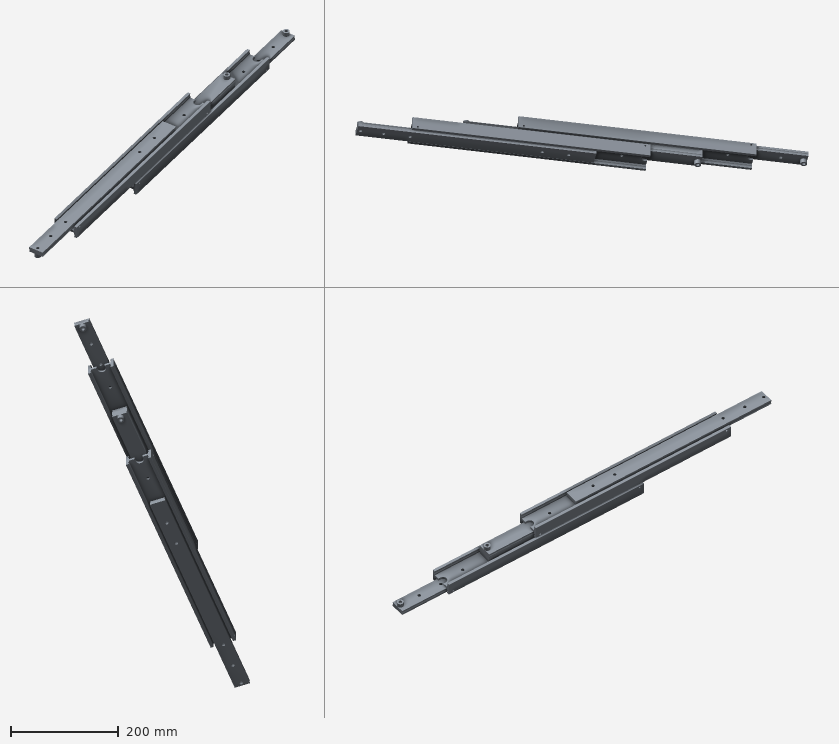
import cadquery as cq
import math

TOTAL_LENGTH = 850.0
MEMBER_COUNT = 5
MEMBER_LENGTH = 450.0
STEP = (TOTAL_LENGTH - MEMBER_LENGTH) / (MEMBER_COUNT - 1)
HALF_LENGTH = MEMBER_LENGTH / 2

WEB_THICKNESS = 5.0
RAIL_GAP = WEB_THICKNESS / 2
OUTER_RAIL_HEIGHT = 2 * WEB_THICKNESS
MIDDLE_RAIL_HEIGHT = 2 * OUTER_RAIL_HEIGHT
CHANNEL_Z = MIDDLE_RAIL_HEIGHT / 2 + RAIL_GAP + WEB_THICKNESS / 2
OUTER_RAIL_BASE_Z = CHANNEL_Z + WEB_THICKNESS / 2 + RAIL_GAP
OUTER_RAIL_TOP_Z = OUTER_RAIL_BASE_Z + OUTER_RAIL_HEIGHT
CHANNEL_HEIGHT = 2 * (CHANNEL_Z - RAIL_GAP)

CHANNEL_WIDTH = 50.0
FLANGE_THICKNESS = 6.0
FLANGE_EDGE_RADIUS = 0.4
RAIL_WIDTH = 30.0
FLANGE_INNER_X = CHANNEL_WIDTH / 2 - FLANGE_THICKNESS

TRACK_RADIUS = 3.2
TRACK_OFFSET = 8.5
TRACK_X = (FLANGE_INNER_X + RAIL_WIDTH / 2) / 2

HOLE_RADIUS = 3.2
HOLE_INSET = STEP / 2

STOP_RADIUS = 6.5
STOP_LENGTH = 8.5
STOP_Y = -HALF_LENGTH + STOP_RADIUS
OUTER_STOP_HOLE_DEPTH = 5.0
MIDDLE_STOP_HOLE_DEPTH = 16.0
DRILL_POINT_ANGLE = 118

NOTCH_RADIUS = 8.0
NOTCH_DEPTH = 13.0
RETAINER_HOLE_RADIUS = 1.9
RETAINER_HOLE_INSET = 10.0


def upright_cylinder(radius, y, z_low, z_high):
    """Cylinder along Z on the middle plane X = 0."""
    base = cq.Workplane("XY", origin=(0, y, z_low))
    return base.circle(radius).extrude(z_high - z_low)


def half_turn(body):
    """Turn a body end for end, and upside down, about the X axis."""
    return body.rotate((0, 0, 0), (1, 0, 0), 180)


def cut_ball_tracks(body, track_z):
    """Cut a round groove along Y on both sides at the given height."""
    for side in (-1, 1):
        track = cq.Workplane("XZ", origin=(side * TRACK_X, 0, track_z)).circle(TRACK_RADIUS)
        body = body.cut(track.extrude(HALF_LENGTH, both=True))
    return body


def notch_cutter():
    """Round-ended slot that lets a stop into the -Y end of a channel web."""
    centre_y = -HALF_LENGTH + NOTCH_DEPTH - NOTCH_RADIUS
    slot = cq.Workplane("XY").box(2 * NOTCH_RADIUS, 2 * (centre_y + HALF_LENGTH), 2 * WEB_THICKNESS)
    slot = slot.translate((0, -HALF_LENGTH, 0))
    return slot.union(upright_cylinder(NOTCH_RADIUS, centre_y, -WEB_THICKNESS, WEB_THICKNESS))


def retainer_hole_cutter():
    """Cross hole through both upper ball tracks near the -Y end of a channel."""
    centre = (0, -HALF_LENGTH + RETAINER_HOLE_INSET, TRACK_OFFSET)
    hole = cq.Workplane("YZ", origin=centre).circle(RETAINER_HOLE_RADIUS)
    return hole.extrude(CHANNEL_WIDTH, both=True)


def make_channel():
    """H-shaped channel centred on the origin, alike after a half turn."""
    channel = cq.Workplane("XY").box(CHANNEL_WIDTH, MEMBER_LENGTH, WEB_THICKNESS)
    flange = cq.Workplane("XY").box(FLANGE_THICKNESS, MEMBER_LENGTH, CHANNEL_HEIGHT)
    flange_x = (CHANNEL_WIDTH - FLANGE_THICKNESS) / 2
    for side, outer_face in ((-1, "<X"), (1, ">X")):
        rounded_flange = flange.faces(outer_face).edges("|Y").fillet(FLANGE_EDGE_RADIUS)
        channel = channel.union(rounded_flange.translate((side * flange_x, 0, 0)))
    hole_y = -HALF_LENGTH + HOLE_INSET
    fixing_hole = upright_cylinder(HOLE_RADIUS, hole_y, -WEB_THICKNESS, WEB_THICKNESS)
    for _ in range(2):
        channel = cut_ball_tracks(channel, TRACK_OFFSET)
        for cutter in (notch_cutter(), fixing_hole, retainer_hole_cutter()):
            channel = channel.cut(cutter)
        channel = half_turn(channel)
    return channel


def stop_hole_cutter(tip_z, depth):
    """Blind hole with a drill point, going up from the tip of a stop."""
    point_depth = HOLE_RADIUS / math.tan(math.radians(DRILL_POINT_ANGLE / 2))
    half_section = [(0, 0), (HOLE_RADIUS, 0), (HOLE_RADIUS, depth), (0, depth + point_depth)]
    hole = cq.Workplane("XZ").polyline(half_section).close().revolve(360, (0, 0, 0), (0, 1, 0))
    return hole.translate((0, STOP_Y, tip_z))


def add_lower_stop(rail, base_z, hole_depth):
    """Add a drilled stop under the -Y end of a rail whose underside is at the given height."""
    tip_z = base_z - STOP_LENGTH
    stud = upright_cylinder(STOP_RADIUS, STOP_Y, tip_z, base_z)
    return rail.union(stud).cut(stop_hole_cutter(tip_z, hole_depth))


def make_outer_rail():
    """Rail that runs over the upper channel, with holes down through it and one stop."""
    centre_z = OUTER_RAIL_BASE_Z + OUTER_RAIL_HEIGHT / 2
    rail = cq.Workplane("XY").box(RAIL_WIDTH, MEMBER_LENGTH, OUTER_RAIL_HEIGHT)
    rail = cut_ball_tracks(rail.translate((0, 0, centre_z)), CHANNEL_Z + TRACK_OFFSET)
    hole_places = [STOP_Y]
    for end in (-1, 1):
        for inset in (HOLE_INSET, 2 * HOLE_INSET):
            hole_places.append(end * (HALF_LENGTH - inset))
    for y in hole_places:
        rail = rail.cut(upright_cylinder(HOLE_RADIUS, y, OUTER_RAIL_BASE_Z, OUTER_RAIL_TOP_Z))
    return add_lower_stop(rail, OUTER_RAIL_BASE_Z, OUTER_STOP_HOLE_DEPTH)


def make_middle_rail():
    """Rail between the two channels, alike after a half turn, with a stop at both ends."""
    base_z = -MIDDLE_RAIL_HEIGHT / 2
    rail = cq.Workplane("XY").box(RAIL_WIDTH, MEMBER_LENGTH, MIDDLE_RAIL_HEIGHT)
    for _ in range(2):
        rail = cut_ball_tracks(rail, CHANNEL_Z - TRACK_OFFSET)
        rail = half_turn(add_lower_stop(rail, base_z, MIDDLE_STOP_HOLE_DEPTH))
    return rail


upper_channel = make_channel().translate((0, -STEP, CHANNEL_Z))
upper_rail = make_outer_rail().translate((0, -2 * STEP, 0))
middle_rail = make_middle_rail()

bodies = [middle_rail]
for upper_body in (upper_channel, upper_rail):
    bodies += [upper_body, half_turn(upper_body)]

result = cq.Compound.makeCompound([body.val() for body in bodies])